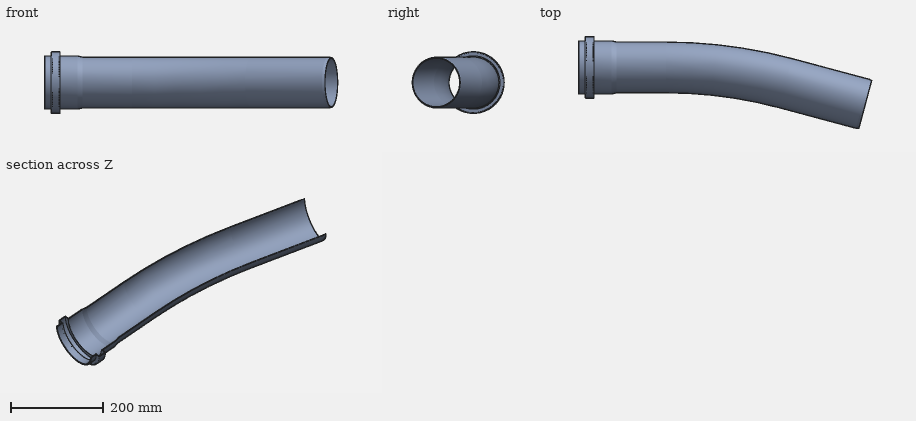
import cadquery as cq
import math

pipe_radius = 110.5 / 2
bore_radius = 105.0 / 2
bend_start = 189.0
bend_angle = 15.0
bend_radius = 1002.5
overall_length = 634.5
tip_chamfer_length = 6.0
tip_chamfer_depth = 1.0

socket_radius = 115.5 / 2
socket_bore_radius = 110.0 / 2
socket_end = 72.0
taper_end = 82.5

ring_radius = 134.0 / 2
ring_groove_radius = 129.0 / 2
ring_start = 14.0
ring_end = 33.5
ring_wall = ring_radius - ring_groove_radius
ring_fillet = 2.2

angle = math.radians(bend_angle)
bend_end_x = bend_start + bend_radius * math.sin(angle)
bend_end_y = -bend_radius * (1 - math.cos(angle))
tip_radius = pipe_radius - tip_chamfer_depth
tip_center_x = overall_length - tip_radius * math.sin(angle)
spigot_length = (tip_center_x - bend_end_x) / math.cos(angle)


def cylinder(radius, start, end):
    """Cylinder along X between two X positions."""
    return cq.Workplane("YZ", origin=(start, 0, 0)).circle(radius).extrude(end - start)


def socket_body(radius, end_radius):
    """Cylinder from X = 0 that tapers to end_radius, then runs straight to the bend."""
    outline = [
        (0, 0),
        (0, radius),
        (socket_end, radius),
        (taper_end, end_radius),
        (bend_start, end_radius),
        (bend_start, 0),
    ]
    return cq.Workplane("XY").polyline(outline).close().revolve(360, (0, 0, 0), (1, 0, 0))


def bend():
    """Tube turned about a vertical axis on the -Y side."""
    return (
        cq.Workplane("YZ", origin=(bend_start, 0, 0))
        .circle(pipe_radius)
        .circle(bore_radius)
        .revolve(bend_angle, (-bend_radius, 6.5, 0), (-bend_radius, 0, 0))
    )


def spigot():
    """Straight tube after the bend, with its outer edge bevelled at the tip."""
    outline = [
        (0, bore_radius),
        (0, pipe_radius),
        (spigot_length - tip_chamfer_length, pipe_radius),
        (spigot_length, tip_radius),
        (spigot_length, bore_radius),
    ]
    tube = cq.Workplane("XY").polyline(outline).close().revolve(360, (0, 0, 0), (1, 0, 0))
    turned = tube.rotate((0, 0, 0), (0, 0, 1), -bend_angle)
    return turned.translate((bend_end_x, bend_end_y, 0))


ring = cylinder(ring_radius, ring_start, ring_end).edges().fillet(ring_fillet)
groove = cylinder(ring_groove_radius, ring_start + ring_wall, ring_end - ring_wall)
socket = (
    socket_body(socket_radius, pipe_radius)
    .union(ring)
    .cut(socket_body(socket_bore_radius, bore_radius))
    .cut(groove)
)

result = socket.union(bend()).union(spigot())